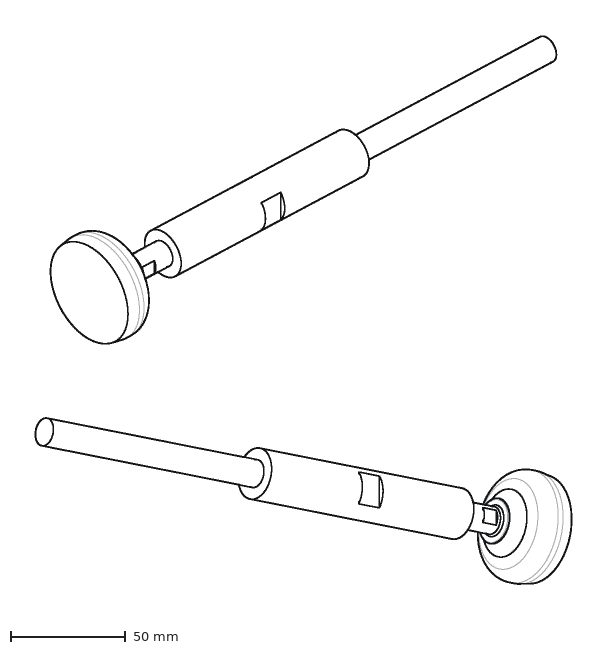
import cadquery as cq
import math

overall_length = 280.0

foot_radius = 25.05
sole_radius = 24.0
sole_taper_height = 6.0
rim_top = 8.7
shoulder_radius = 7.8
top_slope = math.radians(21)
collar_base = 18.0
collar_top = 23.2
lip_radius = 10.0
lip_thickness = 1.0
socket_floor = 14.0
lip_top = collar_top + lip_thickness

spindle_diameter = 12.3
spindle_flare = 0.8
spindle_flare_length = 1.0
socket_diameter = spindle_diameter + 2 * spindle_flare
spindle_flat_width = 10.5
spindle_flat_start = 27.2
spindle_flat_length = 7.5

sleeve_diameter = 22.7
sleeve_start = 45.0
sleeve_length = 115.0
sleeve_flat_width = 17.5
sleeve_flat_length = 11.8


def cylinder(diameter, start, length):
    """Cylinder along +Y from the given start."""
    plane = cq.Plane(origin=(0, start, 0), xDir=(1, 0, 0), normal=(0, 1, 0))
    return cq.Workplane(plane).circle(diameter / 2).extrude(length)


def cut_wrench_flats(body, diameter, width, start, length):
    """Cut a pair of flats, facing -X and +X, that leave the given width."""
    depth = (diameter - width) / 2
    for side in (-1, 1):
        cutter = cq.Workplane("XY").box(depth, length, diameter)
        body = body.cut(cutter.translate((side * (width + depth) / 2, start + length / 2, 0)))
    return body


def make_spindle():
    radius = spindle_diameter / 2
    plug_radius = socket_diameter / 2
    spindle = (
        cq.Workplane("XY")
        .moveTo(0, socket_floor)
        .lineTo(plug_radius, socket_floor)
        .lineTo(plug_radius, lip_top)
        .lineTo(radius, lip_top + spindle_flare_length)
        .lineTo(radius, overall_length)
        .lineTo(0, overall_length)
        .close()
        .revolve(360, (0, 0), (0, 1))
    )
    return cut_wrench_flats(
        spindle, spindle_diameter, spindle_flat_width, spindle_flat_start, spindle_flat_length
    )


def make_sleeve():
    sleeve = cylinder(sleeve_diameter, sleeve_start, sleeve_length)
    flat_start = sleeve_start + (sleeve_length - sleeve_flat_length) / 2
    sleeve = cut_wrench_flats(
        sleeve, sleeve_diameter, sleeve_flat_width, flat_start, sleeve_flat_length
    )
    return sleeve.cut(cylinder(spindle_diameter, sleeve_start, sleeve_length))


def make_foot():
    arc_center_r = foot_radius - shoulder_radius

    def shoulder_point(angle):
        """Point on the shoulder arc, with the angle measured from the rim."""
        return (
            arc_center_r + shoulder_radius * math.cos(angle),
            rim_top + shoulder_radius * math.sin(angle),
        )

    arc_angle = math.pi / 2 - top_slope
    arc_end_r, arc_end_y = shoulder_point(arc_angle)
    collar_base_radius = arc_end_r - (collar_base - arc_end_y) / math.tan(top_slope)
    collar_top_radius = collar_base_radius - (collar_top - collar_base)
    lip_half = lip_thickness / 2
    lip_center_r = lip_radius - lip_half
    foot = (
        cq.Workplane("XY")
        .lineTo(sole_radius, 0)
        .lineTo(foot_radius, sole_taper_height)
        .lineTo(foot_radius, rim_top)
        .threePointArc(shoulder_point(arc_angle / 2), (arc_end_r, arc_end_y))
        .lineTo(collar_base_radius, collar_base)
        .lineTo(collar_top_radius, collar_top)
        .lineTo(lip_center_r, collar_top)
        .threePointArc((lip_radius, collar_top + lip_half), (lip_center_r, lip_top))
        .lineTo(0, lip_top)
        .close()
        .revolve(360, (0, 0), (0, 1))
    )
    return foot.cut(cylinder(socket_diameter, socket_floor, lip_top - socket_floor))


spindle = make_spindle()
sleeve = make_sleeve()
foot = make_foot()

result = cq.Compound.makeCompound([spindle.val(), sleeve.val(), foot.val()])